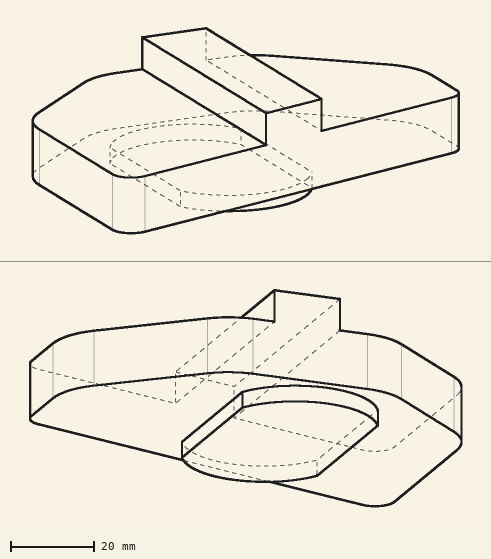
import cadquery as cq
import math

plate_thickness = 14.0
plate_width = 104.0
front_corner_x = 80.0
slant_angle = 15.0
clip_angle = 50.0
front_clip_length = 25.7
back_clip_length = 27.0
clip_radius = 16.0
tip_radius = 5.0

rib_height = 8.0
rib_width = 17.0

pad_height = 4.0
pad_width = 35.0
pad_length = 59.7
pad_end_radius = 20.0
pad_center = (32.65, -6.0)

half_width = plate_width / 2


def slanted_side_x(y):
    """X of the slanted right side at the given Y."""
    return front_corner_x - (y + half_width) * math.tan(math.radians(slant_angle))


back_corner_x = slanted_side_x(half_width)


def clip_depth(clip_length):
    """Y extent of a clipped corner with the given X extent."""
    return clip_length * math.tan(math.radians(clip_angle))


def make_plate():
    """Plate with its underside on Z = 0 and its left side on X = 0."""
    sharp_plate = (
        cq.Workplane("XY")
        .moveTo(0, -half_width + clip_depth(front_clip_length))
        .lineTo(front_clip_length, -half_width)
        .lineTo(front_corner_x, -half_width)
        .lineTo(back_corner_x, half_width)
        .lineTo(back_clip_length, half_width)
        .lineTo(0, half_width - clip_depth(back_clip_length))
        .close()
        .extrude(plate_thickness)
    )
    split_x = (back_clip_length + back_corner_x) / 2
    return (
        sharp_plate
        .edges("|Z").filter(lambda edge: edge.Center().x < split_x).fillet(clip_radius)
        .edges("|Z").filter(lambda edge: edge.Center().x > split_x).fillet(tip_radius)
    )


def make_rib():
    """Rib whose right end follows the slanted side of the plate."""
    half_rib = rib_width / 2
    return (
        cq.Workplane("XY", origin=(0, 0, plate_thickness))
        .moveTo(0, -half_rib)
        .lineTo(slanted_side_x(-half_rib), -half_rib)
        .lineTo(slanted_side_x(half_rib), half_rib)
        .lineTo(0, half_rib)
        .close()
        .extrude(rib_height)
    )


def make_pad():
    """Pad hanging below the plate, its arc ends bulging in -X and +X."""
    half_pad = pad_width / 2
    arc_bulge = pad_end_radius - math.sqrt(pad_end_radius**2 - half_pad**2)
    arc_tip_x = pad_length / 2
    arc_end_x = arc_tip_x - arc_bulge
    return (
        cq.Workplane("XY")
        .center(*pad_center)
        .moveTo(-arc_end_x, -half_pad)
        .lineTo(arc_end_x, -half_pad)
        .threePointArc((arc_tip_x, 0), (arc_end_x, half_pad))
        .lineTo(-arc_end_x, half_pad)
        .threePointArc((-arc_tip_x, 0), (-arc_end_x, -half_pad))
        .close()
        .extrude(-pad_height)
    )


result = make_plate().union(make_rib()).union(make_pad())